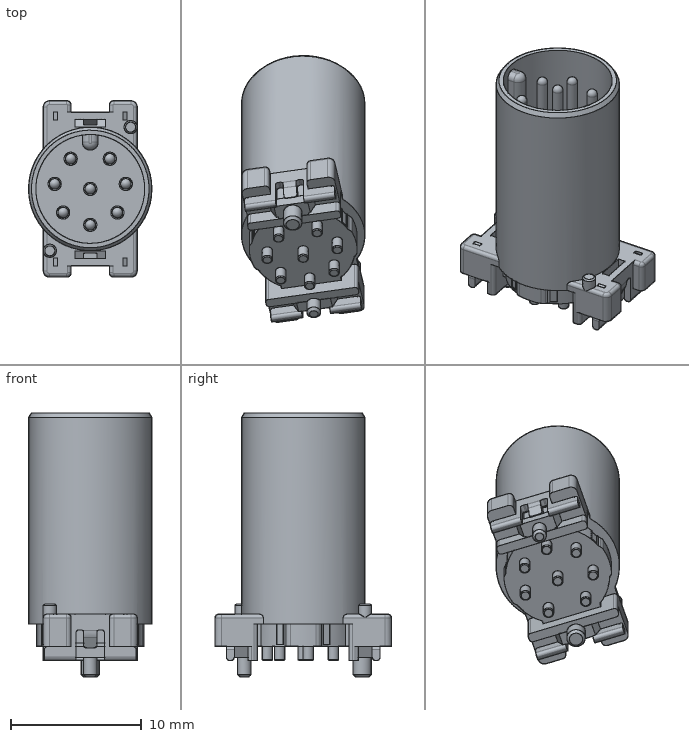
import cadquery as cq
import math

peg_tip_z = 0.0
foot_z = 1.25
latch_z = 1.5
base_z = 2.35
shell_z = 4.05
deck_z = 4.8
post_top_z = 5.6
floor_z = 11.1
ring_contact_top_z = 18.79
centre_contact_top_z = 19.7
key_top_z = 19.65
shell_top_z = 20.2

shell_diameter = 9.43
shell_radius = shell_diameter / 2
socket_radius = 4.16
shell_chamfer_width = 0.22
shell_chamfer_height = 0.35
collar_radius = 3.98
lobe_radius = 4.12
lobe_diamond_reach = 5.11
lobe_corner = 0.6
flat_distance = 3.9
flat_width = 0.57
flat_angle = 27
flat_z = 2.5
key_radius = 0.6
key_round_y = 3.58
key_dome = 0.5

contact_radius = 0.4
contact_recess_radius = 0.5
contact_recess_depth = 0.2
tail_chamfer = 0.08
contact_circle_radius = 2.75
contact_pitch = 49
ring_contacts = 7

half_width = 3.6
overall_length = 13.5
end_y = overall_length / 2
front_y = 5.88
wall_y = 3.5
wall_outer_y = 4.22
wall_corner = 0.26
block_inner_x = 1.45
outer_corner = 0.48
inner_corner = 0.35
top_round = 0.28
deck_start_y = 2.02
bridge_half_width = 2.32

rib_thickness = 0.6
rib_half_width = 3.5
rib_corner = 0.25
rib_round = 0.28

shaft_half_width = 1.17
shaft_inner_y = 4.73
shaft_outer_y = 5.31
shaft_floor_z = 2.6
window_half_width = 1.1
window_top_z = 3.62
window_corner = 0.25
latch_top_half_width = 1.72
latch_bottom_half_width = 1.31
latch_undercut = 0.2
prong_half_width = 0.5
prong_root_z = 3.55
prong_bend_y = 5.78
prong_bend_z = 3.0
prong_tip_outer_y = 5.4
prong_tip_inner_y = 4.87
prong_tip_outer_z = 2.22
prong_tip_inner_z = 2.48
prong_corner = 0.2

pocket_x = 2.67
pocket_width = 0.3
pocket_depth = 0.2
post_radius = 0.5
post_y = 4.73
post_chamfer = 0.12
peg_y = 4.5
front_peg_radius = 0.53
rear_peg_radius = 0.7
peg_chamfer = 0.2


def block(x0, x1, y0, y1, z0, z1):
    return cq.Workplane("XY").box(x1 - x0, y1 - y0, z1 - z0, centered=False).translate((x0, y0, z0))


def rod(x, y, radius, z0, z1):
    return cq.Workplane("XY", origin=(x, y, z0)).circle(radius).extrude(z1 - z0)


def side_profile(points, half_x):
    """Prism across X from a (y, z) outline, centred on X = 0."""
    return cq.Workplane("YZ").polyline(points).close().extrude(half_x, both=True)


def ring_places():
    places = []
    for i in range(ring_contacts):
        angle = math.radians(-90 + contact_pitch * (i - ring_contacts // 2))
        places.append((contact_circle_radius * math.cos(angle), contact_circle_radius * math.sin(angle)))
    return places


def contact(x, y, top_z):
    shank = rod(x, y, contact_radius, foot_z, top_z - contact_radius).faces("<Z").chamfer(tail_chamfer)
    dome = cq.Workplane("XY", origin=(x, y, top_z - contact_radius)).sphere(contact_radius)
    return shank.union(dome)


def shell():
    body = rod(0, 0, shell_radius, shell_z, shell_top_z)
    body = body.faces(">Z").chamfer(shell_chamfer_height, shell_chamfer_width)
    return body.cut(rod(0, 0, socket_radius, floor_z, shell_top_z))


def key():
    upright = rod(0, key_round_y, key_radius, floor_z, key_top_z)
    upright = upright.union(
        block(-key_radius, key_radius, key_round_y, shell_radius - shell_chamfer_width, floor_z, key_top_z)
    )
    upright = upright.faces(">Z").edges("not >Y").fillet(key_dome)
    return upright.intersect(rod(0, 0, (socket_radius + shell_radius) / 2, floor_z, shell_top_z))


def collar():
    """Ring below the shell with lobes, small flats and bridges to the inner walls."""
    diamond_side = lobe_diamond_reach * math.sqrt(2)
    lobes = cq.Workplane("XY", origin=(0, 0, base_z)).rect(diamond_side, diamond_side)
    lobes = lobes.extrude(shell_z - base_z).rotate((0, 0, 0), (0, 0, 1), 45)
    lobes = lobes.intersect(rod(0, 0, lobe_radius, base_z, shell_z)).edges("|Z").fillet(lobe_corner)
    ring = rod(0, 0, collar_radius, base_z, shell_z)
    for angle in (flat_angle, -flat_angle, 180 + flat_angle, 180 - flat_angle):
        cutter = block(flat_distance, shell_radius, -flat_width / 2, flat_width / 2, flat_z, shell_z)
        ring = ring.cut(cutter.rotate((0, 0, 0), (0, 0, 1), angle))
    bridge = block(-bridge_half_width, bridge_half_width, -wall_y, wall_y, base_z, shell_z)
    return ring.union(lobes).union(bridge)


def corner_block(side):
    """Half of the mounting end: outer corner block with rounded upright and top edges."""
    body = block(block_inner_x, half_width, deck_start_y, end_y, base_z, deck_z)
    body = body.edges("|Z and >X and >Y").fillet(outer_corner)
    body = body.edges("|Z and <X and >Y").fillet(inner_corner)
    body = body.faces(">Z").edges("not <Y").fillet(top_round)
    body = body.cut(block(0, half_width, 0, wall_y + wall_corner, base_z, shell_z))
    if side < 0:
        body = body.mirror("YZ")
    return body


def inner_wall():
    wall = block(-half_width, half_width, wall_y, wall_outer_y, foot_z, shell_z)
    return wall.edges("|Z").fillet(wall_corner)


def foot_rib():
    rib = block(-rib_half_width, rib_half_width, front_y - rib_thickness, front_y, foot_z, base_z)
    rib = rib.edges("|Y and >Z").fillet(rib_corner)
    return rib.edges("|X and <Z").fillet(rib_round)


def latch_prong():
    prong = (
        cq.Workplane("YZ")
        .moveTo(front_y, window_top_z)
        .lineTo(front_y, prong_root_z)
        .spline([(prong_bend_y, prong_bend_z)], tangents=[
            (0, -1),
            (prong_tip_outer_y - prong_bend_y, prong_tip_outer_z - prong_bend_z),
        ], includeCurrent=True)
        .lineTo(prong_tip_outer_y, prong_tip_outer_z)
        .lineTo(prong_tip_inner_y, prong_tip_inner_z)
        .lineTo(shaft_outer_y, window_top_z)
        .close()
        .extrude(2 * prong_half_width)
        .translate((-prong_half_width, 0, 0))
    )
    tip_y = (prong_tip_outer_y + prong_tip_inner_y) / 2
    tip_z = (prong_tip_outer_z + prong_tip_inner_z) / 2
    for x in (-prong_half_width, prong_half_width):
        prong = prong.edges(cq.NearestToPointSelector((x, tip_y, tip_z))).fillet(prong_corner)
    return prong


def deck_pocket():
    """Small rectangular pocket whose floor slopes down towards the outer side."""
    inner_x = pocket_x - pocket_width / 2
    outer_x = pocket_x + pocket_width / 2
    outline = cq.Workplane("XZ", origin=(0, front_y, 0)).polyline([
        (inner_x, deck_z),
        (outer_x, deck_z),
        (outer_x, deck_z - pocket_depth),
    ])
    return outline.close().extrude(rib_thickness)


def latch_window():
    """Opening in the front wall: a round-topped slot on each side of the prong and a gap between."""
    window = block(-prong_half_width, prong_half_width, shaft_outer_y, end_y, foot_z, prong_root_z)
    slot = block(prong_half_width, window_half_width, shaft_outer_y, end_y, foot_z, window_top_z)
    slot = slot.edges("|Y and >Z").fillet(window_corner)
    return window.union(slot).union(slot.mirror("YZ")).union(
        block(-window_half_width, window_half_width, shaft_inner_y, end_y, foot_z, base_z)
    )


def latch_block():
    """Block behind the window, with a floor that slopes down and outwards."""
    profile = side_profile([
        (wall_outer_y, latch_z),
        (shaft_outer_y, latch_z),
        (shaft_outer_y, base_z),
        (shaft_inner_y, shaft_floor_z),
        (wall_outer_y, shaft_floor_z),
    ], latch_top_half_width)
    taper = (
        cq.Workplane("XZ")
        .polyline([
            (-latch_bottom_half_width, latch_z),
            (latch_bottom_half_width, latch_z),
            (latch_top_half_width, base_z),
            (latch_top_half_width, shaft_floor_z),
            (-latch_top_half_width, shaft_floor_z),
            (-latch_top_half_width, base_z),
        ])
        .close()
        .extrude(-end_y)
    )
    return profile.intersect(taper)


def mounting_end(peg_radius):
    body = corner_block(1).union(corner_block(-1))
    deck_half = half_width - outer_corner
    body = body.union(block(-deck_half, deck_half, wall_y, front_y, base_z, deck_z))
    body = body.union(foot_rib())

    body = body.cut(block(-shaft_half_width, shaft_half_width, shaft_inner_y, shaft_outer_y, base_z, deck_z))
    body = body.cut(latch_window()).union(latch_block()).union(latch_prong())

    body = body.union(inner_wall())
    body = body.cut(side_profile([
        (wall_outer_y, latch_z - latch_undercut),
        (wall_outer_y, latch_z),
        (wall_outer_y - latch_undercut, latch_z),
    ], shaft_half_width))

    body = body.cut(deck_pocket()).cut(deck_pocket().mirror("YZ"))
    post = rod(half_width - post_radius, post_y, post_radius, base_z, post_top_z)
    body = body.union(post.faces(">Z").chamfer(post_chamfer))
    peg = rod(0, peg_y, peg_radius, peg_tip_z, latch_z)
    return body.union(peg.faces("<Z").chamfer(peg_chamfer))


def make_housing():
    body = shell().union(collar()).union(key())
    body = body.union(mounting_end(rear_peg_radius))
    body = body.union(mounting_end(front_peg_radius).rotate((0, 0, 0), (0, 0, 1), 180))
    for x, y in [(0, 0), *ring_places()]:
        body = body.cut(rod(x, y, contact_radius, foot_z, floor_z))
        body = body.cut(rod(x, y, contact_recess_radius, floor_z - contact_recess_depth, floor_z))
    return body


housing = make_housing()
centre_contact = contact(0, 0, centre_contact_top_z)
ring_contact_solids = [contact(x, y, ring_contact_top_z).val() for x, y in ring_places()]
result = cq.Compound.makeCompound([housing.val(), centre_contact.val(), *ring_contact_solids])